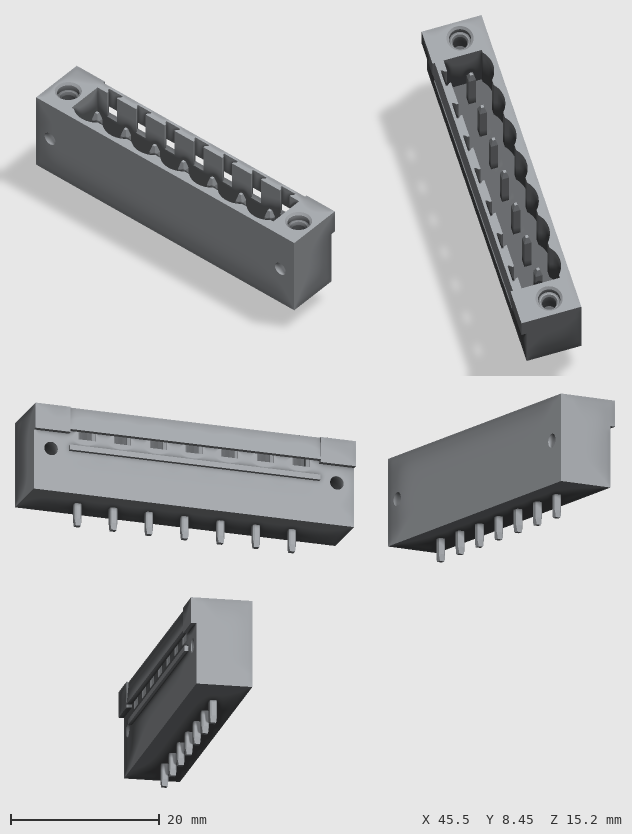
import cadquery as cq

LENGTH = 45.55
HEIGHT = 12.07
FRONT_Y = -3.8
BACK_Y = 3.9
LIP_BACK_Y = 4.65
LIP_BOTTOM_Z = 8.47

PIN_COUNT = 7
PIN_ROW_LENGTH = 30.5
PITCH = PIN_ROW_LENGTH / (PIN_COUNT - 1)
PIN_WIDTH = 1.0
PIN_EDGE_CHAMFER = 0.2
PIN_TOP_Z = 11.1
PIN_BOTTOM_Z = -3.15
TOP_TAPER_LENGTH = 1.2
TOP_TIP_WIDTH = 0.4
BOTTOM_TAPER_LENGTH = 0.95
BOTTOM_TIP_WIDTH = 0.75

CAVITY_LENGTH = 35.6
CAVITY_FLOOR_Z = 3.0
CAVITY_BACK_Y = 3.1
CAVITY_FRONT_Y = -2.3
SCALLOP_HALF_WIDTH = 2.15
SCALLOP_DEPTH = 0.8

SLOPE_TOP_Y = 4.35
RAIL_BACK_Y = 4.45
RAIL_BOTTOM_Z = 6.0
RAIL_HEIGHT = 0.75

SLOT_FLOOR_Z = 7.85
SLOT_MOUTH_WIDTH = 1.75
SLOT_BACK_WIDTH = 2.4
SLOT_CHANNEL_DEPTH = 0.25
SLOT_FLARE_DEPTH = (SLOT_BACK_WIDTH - SLOT_MOUTH_WIDTH) / 2
WINDOW_TOP_Z = 8.9

FIXING_X = PITCH * (PIN_COUNT + 1) / 2
CROSS_HOLE_DIAMETER = 1.9
INSERT_DIAMETER = 3.0
INSERT_TOP_Z = 10.95
INSERT_BOTTOM_Z = 7.75
BORE_DIAMETER = 1.9
BORE_CHAMFER_WIDTH = 0.2
BORE_CHAMFER_DEPTH = 0.4
RECESS_CHAMFER = 0.3

PIN_XS = [(i - (PIN_COUNT - 1) / 2) * PITCH for i in range(PIN_COUNT)]
FIXING_XS = [-FIXING_X, FIXING_X]


def box(x_size, y_min, y_max, z_min, z_max):
    """Box centred in X and spanning the given Y and Z limits."""
    return (
        cq.Workplane("XY")
        .box(x_size, y_max - y_min, z_max - z_min, centered=(True, False, False))
        .translate((0, y_min, z_min))
    )


def cylinder(x, diameter, z_min, z_max):
    """Upright cylinder on the pin row."""
    return cq.Workplane("XY", origin=(x, 0, z_min)).circle(diameter / 2).extrude(z_max - z_min)


def make_frustum(z_base, z_tip, tip_width):
    """Square taper from the pin width at z_base to the tip width at z_tip."""
    return (
        cq.Workplane("XY", origin=(0, 0, z_base))
        .rect(PIN_WIDTH, PIN_WIDTH)
        .workplane(offset=z_tip - z_base)
        .rect(tip_width, tip_width)
        .loft(ruled=True)
    )


def make_pin(x):
    """Square pin with a taper at each end and bevelled long edges below the housing."""
    top_taper_z = PIN_TOP_Z - TOP_TAPER_LENGTH
    bottom_taper_z = PIN_BOTTOM_Z + BOTTOM_TAPER_LENGTH
    half = PIN_WIDTH / 2
    upper = box(PIN_WIDTH, -half, half, 0, top_taper_z).union(
        make_frustum(top_taper_z, PIN_TOP_Z, TOP_TIP_WIDTH)
    )
    tapered_leg = box(PIN_WIDTH, -half, half, bottom_taper_z, 0).union(
        make_frustum(bottom_taper_z, PIN_BOTTOM_Z, BOTTOM_TIP_WIDTH)
    )
    bevelled_bar = (
        box(PIN_WIDTH, -half, half, PIN_BOTTOM_Z, 0).edges("|Z").chamfer(PIN_EDGE_CHAMFER)
    )
    return upper.union(tapered_leg.intersect(bevelled_bar)).translate((x, 0, 0))


def make_countersink(x, bore_diameter, top_z, width, depth):
    """Cone that widens a bore by width all round at top_z, starting depth below it."""
    radius = bore_diameter / 2
    base_center = cq.Vector(x, 0, top_z - depth)
    return cq.Workplane(cq.Solid.makeCone(radius, radius + width, depth, base_center))


def make_insert(x):
    """Fixing insert: a sleeve with a countersunk bore."""
    sleeve = cylinder(x, INSERT_DIAMETER, INSERT_BOTTOM_Z, INSERT_TOP_Z)
    bore = cylinder(x, BORE_DIAMETER, INSERT_BOTTOM_Z, INSERT_TOP_Z)
    countersink = make_countersink(
        x, BORE_DIAMETER, INSERT_TOP_Z, BORE_CHAMFER_WIDTH, BORE_CHAMFER_DEPTH
    )
    return sleeve.cut(bore).cut(countersink)


def make_lip():
    """Rear lip: full-depth end blocks joined by a stretch whose back leans inward to the top.

    The lower edge of that stretch is the top of the windows that the slots open through.
    """
    end_blocks = box(LENGTH, BACK_Y, LIP_BACK_Y, LIP_BOTTOM_Z, HEIGHT).cut(
        box(CAVITY_LENGTH, BACK_Y, LIP_BACK_Y, LIP_BOTTOM_Z, HEIGHT)
    )
    sloped_stretch = (
        cq.Workplane("YZ", origin=(-CAVITY_LENGTH / 2, 0, 0))
        .moveTo(BACK_Y, WINDOW_TOP_Z)
        .lineTo(LIP_BACK_Y, WINDOW_TOP_Z)
        .lineTo(SLOPE_TOP_Y, HEIGHT)
        .lineTo(BACK_Y, HEIGHT)
        .close()
        .extrude(CAVITY_LENGTH)
    )
    return end_blocks.union(sloped_stretch)


def make_cavity():
    """Plug cavity with one shallow arc per pin along its front wall."""
    half = CAVITY_LENGTH / 2
    outline = (
        cq.Workplane("XY", origin=(0, 0, CAVITY_FLOOR_Z))
        .moveTo(half, CAVITY_FRONT_Y)
        .lineTo(half, CAVITY_BACK_Y)
        .lineTo(-half, CAVITY_BACK_Y)
        .lineTo(-half, CAVITY_FRONT_Y)
    )
    for x in PIN_XS:
        outline = outline.lineTo(x - SCALLOP_HALF_WIDTH, CAVITY_FRONT_Y).threePointArc(
            (x, CAVITY_FRONT_Y - SCALLOP_DEPTH), (x + SCALLOP_HALF_WIDTH, CAVITY_FRONT_Y)
        )
    return outline.close().extrude(HEIGHT - CAVITY_FLOOR_Z)


def make_slot(x):
    """Keying slot, open to the top, to the cavity and, under the lip, to the back."""
    mouth = SLOT_MOUTH_WIDTH / 2
    back = SLOT_BACK_WIDTH / 2
    channel_y = BACK_Y - SLOT_CHANNEL_DEPTH
    flare_y = channel_y - SLOT_FLARE_DEPTH
    return (
        cq.Workplane("XY", origin=(x, 0, SLOT_FLOOR_Z))
        .polyline(
            [
                (-mouth, CAVITY_BACK_Y),
                (-mouth, flare_y),
                (-back, channel_y),
                (-back, BACK_Y),
                (back, BACK_Y),
                (back, channel_y),
                (mouth, flare_y),
                (mouth, CAVITY_BACK_Y),
            ]
        )
        .close()
        .extrude(HEIGHT - SLOT_FLOOR_Z)
    )


def make_insert_seat(x):
    """Countersunk bore that holds an insert below the housing top."""
    bore = cylinder(x, INSERT_DIAMETER, INSERT_BOTTOM_Z, HEIGHT)
    countersink = make_countersink(x, INSERT_DIAMETER, HEIGHT, RECESS_CHAMFER, RECESS_CHAMFER)
    return bore.union(countersink)


def make_cross_hole(x):
    """Hole through the end of the housing, front to back, at mid height."""
    return (
        cq.Workplane("XZ", origin=(x, BACK_Y, HEIGHT / 2))
        .circle(CROSS_HOLE_DIAMETER / 2)
        .extrude(BACK_Y - FRONT_Y)
    )


def make_housing(pins):
    """Header housing with all its openings and a close-fitting hole for each pin."""
    body = box(LENGTH, FRONT_Y, BACK_Y, 0, HEIGHT).union(make_lip())
    rail = box(CAVITY_LENGTH, BACK_Y, RAIL_BACK_Y, RAIL_BOTTOM_Z, RAIL_BOTTOM_Z + RAIL_HEIGHT)
    body = body.union(rail).cut(make_cavity())
    for x in PIN_XS:
        body = body.cut(make_slot(x))
    for x in FIXING_XS:
        body = body.cut(make_insert_seat(x)).cut(make_cross_hole(x))
    for pin in pins:
        body = body.cut(pin)
    return body


pins = [make_pin(x) for x in PIN_XS]
inserts = [make_insert(x) for x in FIXING_XS]
housing = make_housing(pins)

result = cq.Compound.makeCompound(
    [housing.val(), *[pin.val() for pin in pins], *[insert.val() for insert in inserts]]
)